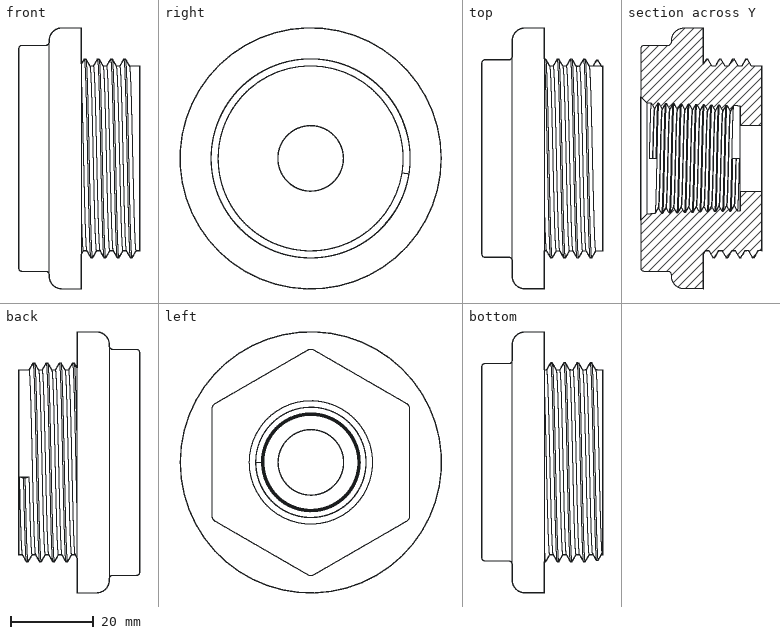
import cadquery as cq
import math

hex_height = 7.3
flange_end = 15.1
total_length = 29.15

flange_diameter = 63.0
flange_round = 3.15
hex_across_flats = 47.6
hex_corner_round = 1.5
hex_edge_round = 0.75

spigot_diameter = 44.6
outer_crest_diameter = 48.0
outer_full_turns = 5
outer_full_length = 15.9
outer_pitch = outer_full_length / outer_full_turns
outer_end_trim = 9.0
outer_turns = outer_full_turns - outer_end_trim / 360
outer_base_width = 2.3
outer_crest_width = 0.4
outer_start = 12.0

hole_diameter = 15.75
mouth_diameter = 29.7
socket_diameter = 26.65
socket_depth = 23.95
socket_taper = 1 / 16
inner_start = 2.9
inner_pitch = 1.8
inner_turns = 11
inner_base_width = 1.65
inner_crest_width = 0.095
inner_ridge_height = 1.4

seam_turn = 90

root_overlap = 0.1

mouth_depth = (mouth_diameter - socket_diameter) / 2
socket_radius = socket_diameter / 2
floor_radius = socket_radius - socket_taper / 2 * (socket_depth - mouth_depth)


def along_x(shape):
    """Turn a shape built along +Z so that it runs along +X, with its local +X toward +Y."""
    origin = cq.Vector(0, 0, 0)
    turned = shape.rotate(origin, cq.Vector(0, 0, 1), 90)
    return turned.rotate(origin, cq.Vector(0, 1, 0), 90)


def thread_ridge(start, pitch, turns, root_radius, crest_radius, root_width, crest_width, taper=0):
    """Right-handed trapezoidal ridge, centred at X = start on the +Y side."""
    height = pitch * turns
    cylinder_angle = 360
    cone_angle = -math.degrees(math.atan(taper / 2)) if taper else cylinder_angle

    def edge_helix(radius, offset):
        helix = cq.Wire.makeHelix(pitch, height, radius, angle=cone_angle)
        return helix.translate(cq.Vector(0, 0, start + offset))

    helices = [
        edge_helix(root_radius, -root_width / 2),
        edge_helix(crest_radius, -crest_width / 2),
        edge_helix(crest_radius, crest_width / 2),
        edge_helix(root_radius, root_width / 2),
    ]
    following = helices[1:] + helices[:1]
    faces = [cq.Face.makeRuledSurface(a, b) for a, b in zip(helices, following)]
    for end in (0, 1):
        corners = [helix.positionAt(end) for helix in helices]
        faces.append(cq.Face.makeFromWires(cq.Wire.makePolygon(corners, close=True)))
    ridge = cq.Solid.makeSolid(cq.Shell.makeShell(faces))
    return cq.Workplane(obj=along_x(ridge.fix()))


def root_width_with_overlap(base_width, crest_width, ridge_height):
    """Width of the ridge where its flanks reach the buried root."""
    return base_width + (base_width - crest_width) * root_overlap / ridge_height


def make_body():
    """Hexagonal head, rounded flange and plain spigot."""
    hexagon = (
        cq.Workplane("YZ")
        .polygon(6, hex_across_flats, circumscribed=True)
        .extrude(flange_end)
        .edges("|X").fillet(hex_corner_round)
        .faces("<X").edges().fillet(hex_edge_round)
    )
    flange = (
        cq.Workplane("YZ", origin=(hex_height, 0, 0))
        .circle(flange_diameter / 2)
        .extrude(flange_end - hex_height)
        .faces("<X").edges().fillet(flange_round)
    )
    head = hexagon.union(flange)
    margin = 0.005
    inside_flange_rim = cq.selectors.BoxSelector(
        (hex_height - margin, -hex_across_flats, -hex_across_flats),
        (hex_height + margin, hex_across_flats, hex_across_flats),
    )
    junction = [edge for edge in head.edges(inside_flange_rim).vals() if not edge.IsClosed()]
    head = head.newObject(junction).fillet(hex_edge_round)
    spigot = (
        cq.Workplane("YZ", origin=(hex_height, 0, 0))
        .circle(spigot_diameter / 2)
        .extrude(total_length - hex_height)
        .rotate((0, 0, 0), (1, 0, 0), seam_turn)
    )
    return head.union(spigot)


def make_socket():
    """Chamfered mouth, tapered socket and through hole, as one revolved cutter."""
    outline = [
        (0, 0),
        (0, mouth_diameter / 2),
        (mouth_depth, socket_radius),
        (socket_depth, floor_radius),
        (socket_depth, hole_diameter / 2),
        (total_length, hole_diameter / 2),
        (total_length, 0),
    ]
    return cq.Workplane("XY").polyline(outline).close().revolve(360, (0, 0, 0), (1, 0, 0))


def make_outer_thread():
    """External ridge that emerges from the flange."""
    ridge_height = (outer_crest_diameter - spigot_diameter) / 2
    return thread_ridge(
        outer_start,
        outer_pitch,
        outer_turns,
        spigot_diameter / 2 - root_overlap,
        outer_crest_diameter / 2,
        root_width_with_overlap(outer_base_width, outer_crest_width, ridge_height),
        outer_crest_width,
    )


def make_inner_thread():
    """Internal ridge that follows the tapered socket wall."""
    return thread_ridge(
        inner_start,
        inner_pitch,
        inner_turns,
        socket_radius + root_overlap,
        socket_radius - inner_ridge_height,
        root_width_with_overlap(inner_base_width, inner_crest_width, inner_ridge_height),
        inner_crest_width,
        socket_taper,
    )


result = make_body().cut(make_socket()).union(make_outer_thread()).union(make_inner_thread())